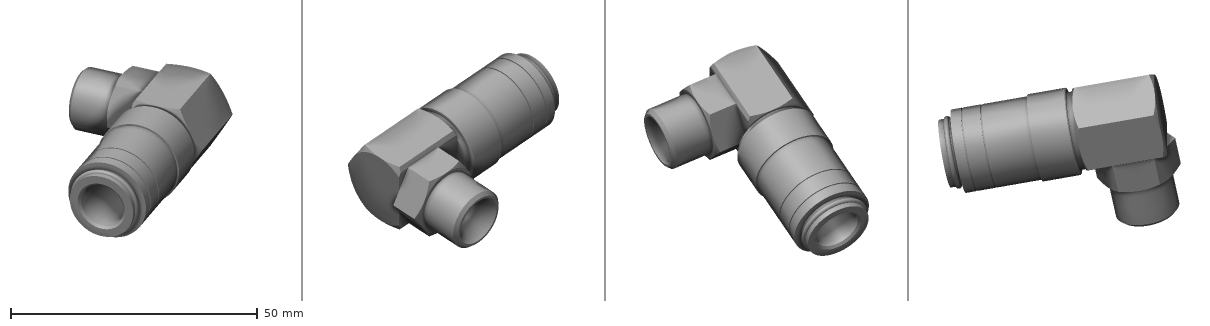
import cadquery as cq
import math


END_CONE_ANGLE = math.radians(30)

BODY_FLATS = 17.0
BODY_BACK_Y = 7.0
BODY_FRONT_Y = -10.0
SEAT_X = -5.5

NUT_FLATS = 15.0
NUT_LENGTH = 6.65

SPIGOT_RADIUS = 6.58
SPIGOT_CHAMFER = 0.75
SPIGOT_LENGTH = 9.035
CONE_MOUTH_RADIUS = 5.3
CONE_HALF_ANGLE = math.radians(30)
BORE_RADIUS = 3.0
BORE_END_Y = BORE_RADIUS

NECK_RADIUS = 8.0
COLLAR_RADIUS = 9.0
COLLAR_BACK_Y = -11.2
COLLAR_FRONT_Y = -19.15
COLLAR_CHAMFER = 0.2
SLEEVE_RADIUS = 8.6
SLEEVE_FRONT_Y = -35.05
GROOVE_BACK_YS = (-28.6, -32.6)
GROOVE_WIDTH = 0.3
GROOVE_DEPTH = 0.25
TIP_RADIUS = 7.0
TIP_FRONT_Y = -37.9

BEAD_RADIUS = 7.5
BEAD_BACK_Y = -35.65
BEAD_FRONT_Y = -36.8

SOCKET_RADIUS = 4.75
SOCKET_CHAMFER = 0.5
SOCKET_BOTTOM_Y = COLLAR_FRONT_Y

NUT_OUTER_X = SEAT_X - NUT_LENGTH
SPIGOT_END_X = NUT_OUTER_X - SPIGOT_LENGTH


def corner_radius(flats):
    return flats / math.sqrt(3)


def corner_drop(flats):
    """Axial length of the cone that turns down the corners of a hexagon."""
    return (corner_radius(flats) - flats / 2) * math.tan(END_CONE_ANGLE)


def cylinder_y(radius, back_y, front_y):
    """Cylinder about the Y axis between two stations."""
    return cq.Workplane("XZ", origin=(0, back_y, 0)).circle(radius).extrude(back_y - front_y)


def revolve_y(points):
    """Solid turned about the Y axis from (radius, y) points."""
    return cq.Workplane("XY").polyline(points).close().revolve(360, (0, 0), (0, 1))


def revolve_x(points):
    """Solid turned about the X axis from (x, radius) points."""
    return cq.Workplane("XY").polyline(points).close().revolve(360, (0, 0), (1, 0))


def elbow_body():
    corner = corner_radius(BODY_FLATS)
    drop = corner_drop(BODY_FLATS)
    bar = (
        cq.Workplane("XZ", origin=(0, BODY_BACK_Y, 0))
        .polygon(6, 2 * corner)
        .extrude(BODY_BACK_Y - BODY_FRONT_Y)
    )
    turned = revolve_y([
        (0, BODY_BACK_Y),
        (BODY_FLATS / 2, BODY_BACK_Y),
        (corner, BODY_BACK_Y - drop),
        (corner, BODY_FRONT_Y + drop),
        (BODY_FLATS / 2, BODY_FRONT_Y),
        (0, BODY_FRONT_Y),
    ])
    milled_off = cq.Workplane("XY").box(
        2 * corner, 2 * (BODY_BACK_Y - BODY_FRONT_Y), 2 * corner
    ).translate((SEAT_X - corner, 0, 0))
    return bar.intersect(turned).cut(milled_off)


def nut():
    corner = corner_radius(NUT_FLATS)
    hexagon = (
        cq.Workplane("YZ", origin=(NUT_OUTER_X, 0, 0))
        .polygon(6, 2 * corner)
        .extrude(NUT_LENGTH)
    )
    turned = revolve_x([
        (NUT_OUTER_X, 0),
        (NUT_OUTER_X, NUT_FLATS / 2),
        (NUT_OUTER_X + corner_drop(NUT_FLATS), corner),
        (SEAT_X, corner),
        (SEAT_X, 0),
    ])
    return hexagon.intersect(turned)


def spigot():
    return revolve_x([
        (SPIGOT_END_X, 0),
        (SPIGOT_END_X, SPIGOT_RADIUS - SPIGOT_CHAMFER),
        (SPIGOT_END_X + SPIGOT_CHAMFER, SPIGOT_RADIUS),
        (NUT_OUTER_X, SPIGOT_RADIUS),
        (NUT_OUTER_X, 0),
    ])


def bead():
    middle = (BEAD_RADIUS, (BEAD_BACK_Y + BEAD_FRONT_Y) / 2)
    return (
        cq.Workplane("XY")
        .moveTo(0, BEAD_BACK_Y)
        .lineTo(TIP_RADIUS, BEAD_BACK_Y)
        .threePointArc(middle, (TIP_RADIUS, BEAD_FRONT_Y))
        .lineTo(0, BEAD_FRONT_Y)
        .close()
        .revolve(360, (0, 0), (0, 1))
    )


def sleeve():
    collar = cylinder_y(COLLAR_RADIUS, COLLAR_BACK_Y, COLLAR_FRONT_Y)
    collar = collar.faces(">Y").chamfer(COLLAR_CHAMFER)
    shell = (
        cylinder_y(NECK_RADIUS, BODY_FRONT_Y, COLLAR_BACK_Y)
        .union(collar)
        .union(cylinder_y(SLEEVE_RADIUS, COLLAR_FRONT_Y, SLEEVE_FRONT_Y))
        .union(cylinder_y(TIP_RADIUS, SLEEVE_FRONT_Y, TIP_FRONT_Y))
        .union(bead())
    )
    for back_y in GROOVE_BACK_YS:
        front_y = back_y - GROOVE_WIDTH
        ring = cylinder_y(COLLAR_RADIUS, back_y, front_y)
        core = cylinder_y(SLEEVE_RADIUS - GROOVE_DEPTH, back_y, front_y)
        shell = shell.cut(ring.cut(core))
    return shell


def spigot_bore():
    cone_depth = (CONE_MOUTH_RADIUS - BORE_RADIUS) / math.tan(CONE_HALF_ANGLE)
    return revolve_x([
        (SPIGOT_END_X, 0),
        (SPIGOT_END_X, CONE_MOUTH_RADIUS),
        (SPIGOT_END_X + cone_depth, BORE_RADIUS),
        (0, BORE_RADIUS),
        (0, 0),
    ])


def sleeve_bore():
    """Stepped blind bore whose flat end is level with the far side of the spigot bore."""
    return revolve_y([
        (0, BORE_END_Y),
        (BORE_RADIUS, BORE_END_Y),
        (BORE_RADIUS, SOCKET_BOTTOM_Y),
        (SOCKET_RADIUS, SOCKET_BOTTOM_Y),
        (SOCKET_RADIUS, TIP_FRONT_Y + SOCKET_CHAMFER),
        (SOCKET_RADIUS + SOCKET_CHAMFER, TIP_FRONT_Y),
        (0, TIP_FRONT_Y),
    ])


outside = elbow_body().union(nut()).union(spigot()).union(sleeve())
result = outside.cut(spigot_bore()).cut(sleeve_bore())